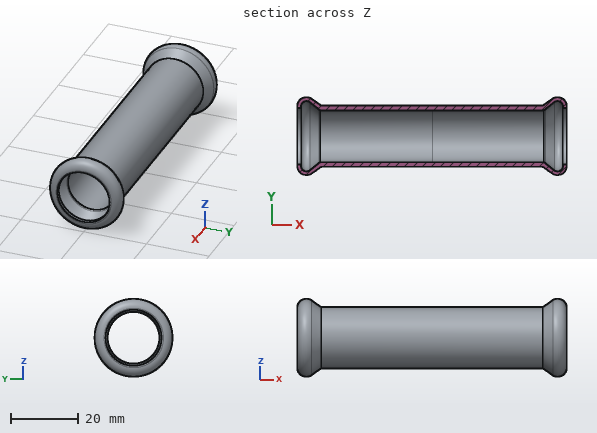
import cadquery as cq
import math

length = 80.0
body_radius = 18.3 / 2
bore_radius = 15.3 / 2

bead_radius = 2.8
bead_outer_radius = 11.6
bead_centre_radius = bead_outer_radius - bead_radius
neck_start = 4.2
neck_end = 7.1

mouth_radius = 8.3
groove_radius = 1.6
mouth_end = bead_radius - groove_radius

groove_end = 6.5
groove_end_radius = 15.8 / 2
groove_cone_angle = 38.0
bore_start = 6.9


def bead_height(x):
    """Outer radius of the bead at a distance x from the end face."""
    return bead_centre_radius + math.sqrt(bead_radius**2 - (x - bead_radius) ** 2)


def groove_point(angle):
    """Point on the groove's rounded roof, at an angle in degrees above the X axis."""
    return (
        bead_radius + groove_radius * math.cos(math.radians(angle)),
        bead_centre_radius + groove_radius * math.sin(math.radians(angle)),
    )


def make_sleeve_half():
    """Revolve one half of the sleeve, with its end face at X = 0."""
    profile = (
        cq.Workplane("XY")
        .moveTo(0, bead_centre_radius)
        .threePointArc((bead_radius, bead_outer_radius), (neck_start, bead_height(neck_start)))
        .lineTo(neck_end, body_radius)
        .lineTo(length / 2, body_radius)
        .lineTo(length / 2, bore_radius)
        .lineTo(bore_start, bore_radius)
        .lineTo(groove_end, groove_end_radius)
        .lineTo(*groove_point(90 - groove_cone_angle))
        .threePointArc(groove_point(90), groove_point(180))
        .lineTo(mouth_end, mouth_radius)
        .lineTo(0, mouth_radius)
        .close()
    )
    return profile.revolve(360, (0, 0, 0), (1, 0, 0))


left_half = make_sleeve_half().translate((-length / 2, 0, 0))
right_half = left_half.mirror("YZ")
result = left_half.union(right_half)